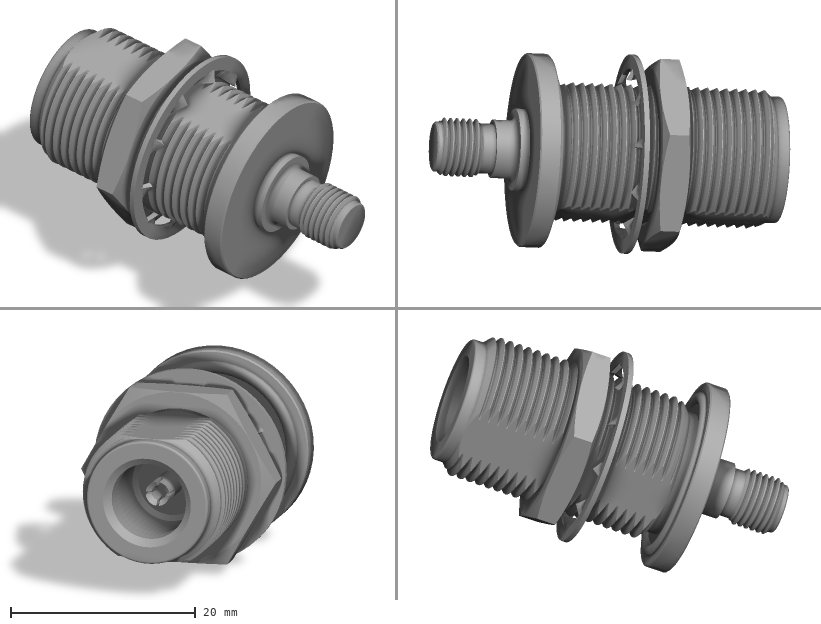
import cadquery as cq
import math

TOTAL_LENGTH = 38.1

THREAD_START = 1.3
THREAD_END = 24.88
FLANGE_START = 25.9
FLANGE_END = 28.27
SHOULDER_END = 29.3
BARREL_END = 31.65
SMALL_THREAD_START = 33.05
SMALL_THREAD_END = 37.55

NOSE_RADIUS = 6.85
NOSE_FILLET = 0.25
FLANGE_RADIUS = 10.5
FLANGE_CHAMFER = 0.15
SHOULDER_RADIUS = 4.45
BARREL_RADIUS = 3.15
BARREL_FILLET = 0.5
NECK_RADIUS = 2.7
NECK_CHAMFER = 0.15

THREAD_RADIUS = 7.95
THREAD_ROOT_RADIUS = 7.25
THREAD_PITCH = 9.52 / 9
THREAD_CREST_WIDTH = 0.08
THREAD_CREST_X = 2.7
FLAT_TO_FLAT = 2 * NOSE_RADIUS

SMALL_THREAD_RADIUS = BARREL_RADIUS
SMALL_THREAD_PITCH = 4.2 / 6
SMALL_THREAD_CREST_WIDTH = 0.1
SMALL_THREAD_CREST_X = 33.85

FLANK_HALF_ANGLE = math.radians(30)
RIDGE_SINK = 0.05
ENVELOPE_CLEARANCE = 0.4

SOCKET_MOUTH_RADIUS = 4.95
SOCKET_RADIUS = 4.2
SOCKET_FLOOR_RADIUS = 3.65
SOCKET_MOUTH_DEPTH = 0.72
SOCKET_DEPTH = 9.15

CONTACT_TIP = 4.0
CONTACT_RADIUS = 1.35
CONTACT_HOLE_RADIUS = 0.8
CONTACT_HOLE_DEPTH = 3.05
CONTACT_SLOT_WIDTH = 0.3
CONTACT_SLOT_DEPTH = 2.3

RING_RADIUS = 8.7
RING_SECTION_RADIUS = 0.7
RING_HEIGHT = 0.55

NUT_START = 11.5
NUT_THICKNESS = 3.1
NUT_ACROSS_FLATS = 19.05
NUT_CHAMFER_DEPTH = 0.5
NUT_FACE_RADIUS = 9.5

WASHER_MIDDLE = 16.57
WASHER_THICKNESS = 0.57
WASHER_OUTER_RADIUS = 21.6 / 2
WASHER_INNER_RADIUS = 9.25
TOOTH_COUNT = 10
TOOTH_WIDTH = 2.48
TOOTH_TIP_RADIUS = 8.15
TOOTH_ROOT_THICKNESS = 0.55
TOOTH_TWIST = 33.0
TOOTH_OVERLAP = 0.23


def revolve_profile(points):
    """Solid of revolution about X from a closed outline of (x, radius) points."""
    return cq.Workplane("XZ").polyline(points).close().revolve(360, (0, 0, 0), (1, 0, 0))


def cylinder(start, end, radius):
    """Cylinder along the X axis."""
    return revolve_profile([(start, 0), (start, radius), (end, radius), (end, 0)])


def helical_ridge(turns, radius, root_radius, pitch, crest_width):
    """Left-handed thread ridge about X; its crest starts at x = 0 on the -Z side and turns toward -Y."""
    depth = radius - root_radius
    half_crest = crest_width / 2
    half_foot = half_crest + (depth + RIDGE_SINK) * math.tan(FLANK_HALF_ANGLE)
    foot_radius = root_radius - RIDGE_SINK
    path = cq.Workplane(cq.Wire.makeHelix(pitch, turns * pitch, root_radius, lefthand=True))
    return (
        cq.Workplane("XZ")
        .polyline([(foot_radius, -half_foot), (radius, -half_crest), (radius, half_crest), (foot_radius, half_foot)])
        .close()
        .sweep(path, isFrenet=True)
        .rotate((0, 0, 0), (0, 1, 0), 90)
    )


def threaded_rod(start, end, radius, root_radius, pitch, crest_width, crest_x):
    """Threaded rod along X that covers `start` to `end` and runs past both.

    `crest_x` is a place where the crest crosses the -Z side.
    """
    first_turn = math.floor((start - crest_x) / pitch) - 1
    last_turn = math.ceil((end - crest_x) / pitch) + 1
    ridge_start = crest_x + first_turn * pitch
    ridge_end = crest_x + last_turn * pitch
    ridge = helical_ridge(last_turn - first_turn, radius, root_radius, pitch, crest_width)
    core = cylinder(ridge_start - pitch, ridge_end + pitch, root_radius)
    return core.union(ridge.translate((ridge_start, 0, 0)))


def tapered_envelope(start, end, radius, end_radius):
    """Space that holds a thread whose ends taper down to `end_radius` at 45 degrees."""
    clear_radius = radius + ENVELOPE_CLEARANCE
    run = clear_radius - end_radius
    return revolve_profile(
        [
            (start, 0),
            (start, end_radius),
            (start + run, clear_radius),
            (end - run, clear_radius),
            (end, end_radius),
            (end, 0),
        ]
    )


def make_large_thread():
    """Large thread of the shell, with tapered ends and a flat along the top and the bottom.

    The flats cut each turn of the ridge into one piece on the -Y side and one on the +Y side.
    """
    flats = cq.Workplane("XY").box(2 * TOTAL_LENGTH, 4 * THREAD_RADIUS, FLAT_TO_FLAT)
    envelope = tapered_envelope(THREAD_START, THREAD_END, THREAD_RADIUS, NOSE_RADIUS).intersect(flats)
    core = cylinder(THREAD_START, THREAD_END, THREAD_ROOT_RADIUS).intersect(envelope)

    half_turn = helical_ridge(0.5, THREAD_RADIUS, THREAD_ROOT_RADIUS, THREAD_PITCH, THREAD_CREST_WIDTH)
    piece = half_turn.intersect(flats)
    opposite_piece = piece.rotate((0, 0, 0), (1, 0, 0), 180).translate((THREAD_PITCH / 2, 0, 0))
    first_turn = math.floor((THREAD_START - THREAD_CREST_X) / THREAD_PITCH)
    last_turn = math.ceil((THREAD_END - THREAD_CREST_X) / THREAD_PITCH)
    pieces = []
    for turn in range(first_turn - 1, last_turn + 1):
        for side in (piece, opposite_piece):
            placed = side.translate((THREAD_CREST_X + turn * THREAD_PITCH, 0, 0))
            trimmed = placed.intersect(envelope)
            pieces.extend(trimmed.solids().vals())
    return cq.Workplane(core.val().fuse(*pieces))


def make_small_thread():
    """Small thread of the shell, with tapered ends."""
    rod = threaded_rod(
        SMALL_THREAD_START, SMALL_THREAD_END, SMALL_THREAD_RADIUS, NECK_RADIUS,
        SMALL_THREAD_PITCH, SMALL_THREAD_CREST_WIDTH, SMALL_THREAD_CREST_X,
    )
    return rod.intersect(
        tapered_envelope(SMALL_THREAD_START, SMALL_THREAD_END, SMALL_THREAD_RADIUS, NECK_RADIUS)
    )


def make_socket():
    """Space inside the large port: flared mouth, straight bore, tapered floor."""
    floor_taper = SOCKET_RADIUS - SOCKET_FLOOR_RADIUS
    return revolve_profile(
        [
            (0, 0),
            (0, SOCKET_MOUTH_RADIUS),
            (SOCKET_MOUTH_DEPTH, SOCKET_RADIUS),
            (SOCKET_DEPTH - floor_taper, SOCKET_RADIUS),
            (SOCKET_DEPTH, SOCKET_FLOOR_RADIUS),
            (SOCKET_DEPTH, 0),
        ]
    )


def make_ring():
    """O-ring standing proud of the flange face."""
    center_x = FLANGE_START - RING_HEIGHT + RING_SECTION_RADIUS
    return (
        cq.Workplane("XZ")
        .center(center_x, RING_RADIUS)
        .circle(RING_SECTION_RADIUS)
        .revolve(360, (0, -RING_RADIUS, 0), (1, -RING_RADIUS, 0))
    )


def make_shell(ring):
    """Shell: threaded port, flange with the O-ring groove, and the stepped small port."""
    nose = cylinder(0, THREAD_START, NOSE_RADIUS).faces("<X").edges().fillet(NOSE_FILLET)
    collar = cylinder(THREAD_END, FLANGE_START, NOSE_RADIUS)
    flange = cylinder(FLANGE_START, FLANGE_END, FLANGE_RADIUS).edges("%CIRCLE").chamfer(FLANGE_CHAMFER)
    shoulder = cylinder(FLANGE_END, SHOULDER_END, SHOULDER_RADIUS)
    barrel = (
        cq.Workplane("XZ")
        .moveTo(SHOULDER_END, 0)
        .lineTo(SHOULDER_END, BARREL_RADIUS + BARREL_FILLET)
        .radiusArc((SHOULDER_END + BARREL_FILLET, BARREL_RADIUS), -BARREL_FILLET)
        .lineTo(BARREL_END, BARREL_RADIUS)
        .lineTo(BARREL_END, 0)
        .close()
        .revolve(360, (0, 0, 0), (1, 0, 0))
    )
    neck = cylinder(BARREL_END, TOTAL_LENGTH, NECK_RADIUS).faces(">X").edges().chamfer(NECK_CHAMFER)

    sections = (nose, collar, flange, shoulder, barrel, neck, make_small_thread())
    shell = cq.Workplane(make_large_thread().val().fuse(*[section.val() for section in sections]))
    return shell.cut(make_socket()).cut(ring)


def make_contact():
    """Slotted spring contact with a flared blind hole."""
    contact = cylinder(CONTACT_TIP, SOCKET_DEPTH, CONTACT_RADIUS)
    flare = CONTACT_RADIUS - CONTACT_HOLE_RADIUS
    hole_floor = CONTACT_TIP + CONTACT_HOLE_DEPTH
    hole = revolve_profile(
        [
            (CONTACT_TIP, 0),
            (CONTACT_TIP, CONTACT_RADIUS),
            (CONTACT_TIP + flare, CONTACT_HOLE_RADIUS),
            (hole_floor, CONTACT_HOLE_RADIUS),
            (hole_floor, 0),
        ]
    )
    slot = cq.Workplane("XY").box(
        CONTACT_SLOT_DEPTH, 3 * CONTACT_RADIUS, CONTACT_SLOT_WIDTH, centered=(False, True, True)
    ).translate((CONTACT_TIP, 0, 0))
    contact = contact.cut(hole)
    for angle in (0, 90):
        contact = contact.cut(slot.rotate((0, 0, 0), (1, 0, 0), angle))
    return contact


def make_nut():
    """Hexagon nut with flats facing up and down, chamfered corners and a matching internal thread."""
    nut_end = NUT_START + NUT_THICKNESS
    corner_radius = NUT_ACROSS_FLATS / 2 / math.cos(math.radians(30))
    hexagon = (
        cq.Workplane("YZ")
        .workplane(offset=NUT_START)
        .polygon(6, 2 * corner_radius)
        .extrude(NUT_THICKNESS)
    )
    envelope = revolve_profile(
        [
            (NUT_START, 0),
            (NUT_START, NUT_FACE_RADIUS),
            (NUT_START + NUT_CHAMFER_DEPTH, corner_radius),
            (nut_end - NUT_CHAMFER_DEPTH, corner_radius),
            (nut_end, NUT_FACE_RADIUS),
            (nut_end, 0),
        ]
    )
    rod = threaded_rod(
        NUT_START, nut_end, THREAD_RADIUS, THREAD_ROOT_RADIUS,
        THREAD_PITCH, THREAD_CREST_WIDTH, THREAD_CREST_X,
    )
    return hexagon.intersect(envelope).cut(rod)


def tooth_section(radius, thickness, twist):
    """Cross-section of a washer tooth on the -Y side, turned by `twist` about the tooth's own axis."""
    plane = cq.Plane(origin=(WASHER_MIDDLE, -radius, 0), xDir=(1, 0, 0), normal=(0, -1, 0))
    return cq.Workplane(plane.rotated((0, 0, -twist))).rect(thickness, TOOTH_WIDTH).wires().val()


def make_washer():
    """Lock washer whose inner teeth are twisted out of its plane on both sides."""
    near_face = WASHER_MIDDLE - WASHER_THICKNESS / 2
    far_face = WASHER_MIDDLE + WASHER_THICKNESS / 2
    disc = cylinder(near_face, far_face, WASHER_OUTER_RADIUS)
    band = disc.cut(cylinder(near_face, far_face, WASHER_INNER_RADIUS))
    root = tooth_section(WASHER_INNER_RADIUS + TOOTH_OVERLAP, TOOTH_ROOT_THICKNESS, 0)
    tip = tooth_section(TOOTH_TIP_RADIUS, WASHER_THICKNESS, TOOTH_TWIST)
    tooth = cq.Workplane(cq.Solid.makeLoft([root, tip], True))
    teeth = [
        tooth.rotate((0, 0, 0), (1, 0, 0), index * 360 / TOOTH_COUNT).val()
        for index in range(TOOTH_COUNT)
    ]
    return cq.Workplane(band.val().fuse(*teeth))


ring = make_ring()
shell = make_shell(ring)
contact = make_contact()
nut = make_nut()
washer = make_washer()

result = cq.Compound.makeCompound([shell.val(), contact.val(), ring.val(), nut.val(), washer.val()])